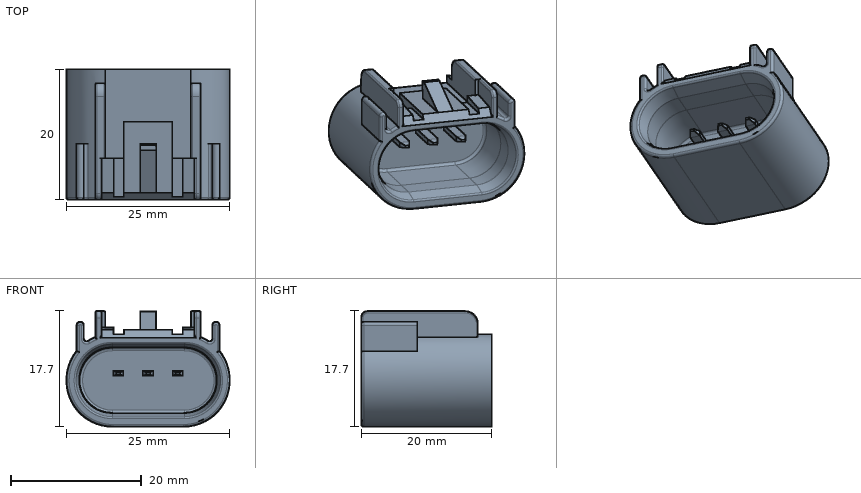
import cadquery as cq


LENGTH = 20.0
BODY_WIDTH = 25.0
BODY_RADIUS = 7.13
BODY_CENTER = BODY_WIDTH / 2 - BODY_RADIUS
FRONT_ROUND = 0.4
OVERALL_HEIGHT = 17.71
TOP = OVERALL_HEIGHT - BODY_RADIUS

SELECT_MARGIN = 0.01

SOCKET_CENTER = 5.5
MOUTH_RADIUS = 5.9
MOUTH_ROUND = 0.3
THROAT_RADIUS = 5.03
THROAT_START = 2.5
TAPER_START = 6.0
FLOOR_RADIUS = 4.97
FLOOR_ROUND = 0.43
SOCKET_DEPTH = 13.0

BLADE_PITCH = 4.53
BLADE_HEIGHT = 1.05
BLADE_WIDTH = 1.55
BLADE_THICKNESS = 0.8
BLADE_LENGTH = 7.0
BLADE_ROOT = 0.5
TIP_LENGTH = 1.2
TIP_WIDTH = 0.6
TIP_THICKNESS = 0.35

EAR_OUTER = 10.94
EAR_WIDTH = 1.14
EAR_LENGTH = 8.6
EAR_TOP = 16.07 - BODY_RADIUS
EAR_BASE = 11.0 - BODY_RADIUS
EAR_FOOT_ROUND = 0.4

RIB_OUTER = 8.06
RIB_INNER = 6.53
RIB_LENGTH = 17.85
RIB_BACK_ROUND = 2.0
RIB_FRONT_ROUND = 1.0
RIB_EDGE_ROUND = 0.25
RELIEF_INNER = 7.09

RECESS_FLOOR = 12.97 - BODY_RADIUS
DECK_LENGTH = 6.34
DECK_TOP = 14.17 - BODY_RADIUS
PAD_HALF_WIDTH = 3.7
PAD_LENGTH = 11.95
PAD_TOP = 14.86 - BODY_RADIUS
BLOCK_INNER = 5.28
BLOCK_BACK_TOP = 15.2 - BODY_RADIUS
LEAD_IN_LENGTH = 1.05
LEAD_IN_BOTTOM = 13.6 - BODY_RADIUS

HOOK_WIDTH = 2.46
HOOK_BACK = 8.6
HOOK_UNDERCUT = 0.34
HOOK_TOP_BACK = 8.32
HOOK_TOP_FRONT = 7.6
HOOK_TOP = TOP - 0.04
HOOK_LIP_DROP = 0.1


def racetrack(y, radius, center):
    """Racetrack section of the given end radius, drawn in the plane at depth y."""
    plane = cq.Workplane("XZ", origin=(0, y, 0))
    return plane.slot2D(2 * (center + radius), 2 * radius)


def box(x_min, x_max, y_min, y_max, z_min, z_max):
    size = (x_max - x_min, y_max - y_min, z_max - z_min)
    return cq.Workplane("XY").box(*size, centered=False).translate((x_min, y_min, z_min))


def side_prism(points, x_min, x_max):
    """Prism between two x positions from a (y, z) outline."""
    return cq.Workplane("YZ", origin=(x_min, 0, 0)).polyline(points).close().extrude(x_max - x_min)


def both_sides(solid):
    return solid.union(solid.mirror("YZ"))


def make_body():
    """Racetrack body with the two ears, rounded around its front edge."""
    body = racetrack(0, BODY_RADIUS, BODY_CENTER).extrude(-LENGTH)
    ear_inner = EAR_OUTER - EAR_WIDTH
    ear = (
        cq.Workplane("XZ")
        .moveTo(ear_inner, EAR_BASE)
        .lineTo(ear_inner, EAR_TOP - EAR_WIDTH / 2)
        .threePointArc((EAR_OUTER - EAR_WIDTH / 2, EAR_TOP), (EAR_OUTER, EAR_TOP - EAR_WIDTH / 2))
        .lineTo(EAR_OUTER, EAR_BASE)
        .close()
        .extrude(-EAR_LENGTH)
    )
    body = body.union(both_sides(ear))

    foot_z = (BODY_RADIUS**2 - (ear_inner - BODY_CENTER) ** 2) ** 0.5
    for x in (-ear_inner, ear_inner):
        foot = cq.selectors.NearestToPointSelector((x, EAR_LENGTH / 2, foot_z))
        body = body.edges("|Y").edges(foot).fillet(EAR_FOOT_ROUND)
    return body.faces("<Y").edges().fillet(FRONT_ROUND)


def make_socket():
    """Socket volume: flared mouth, straight throat and slightly tapered inner part."""
    mouth = racetrack(0, MOUTH_RADIUS - MOUTH_ROUND, SOCKET_CENTER)
    mouth = mouth.workplane(offset=-THROAT_START).slot2D(
        2 * (SOCKET_CENTER + THROAT_RADIUS), 2 * THROAT_RADIUS
    )
    mouth = mouth.loft(ruled=True)
    throat = racetrack(THROAT_START, THROAT_RADIUS, SOCKET_CENTER)
    throat = throat.extrude(THROAT_START - TAPER_START)
    inner = racetrack(TAPER_START, THROAT_RADIUS, SOCKET_CENTER)
    inner = inner.workplane(offset=TAPER_START - SOCKET_DEPTH).slot2D(
        2 * (SOCKET_CENTER + FLOOR_RADIUS), 2 * FLOOR_RADIUS
    )
    inner = inner.loft(ruled=True).faces(">Y").edges().fillet(FLOOR_ROUND)
    return mouth.union(throat).union(inner)


def round_mouth(part):
    """Round the socket's rim, picked by a thin box around the front plane."""
    half_width = SOCKET_CENTER + MOUTH_RADIUS
    rim = cq.selectors.BoxSelector(
        (-half_width, -SELECT_MARGIN, -MOUTH_RADIUS),
        (half_width, SELECT_MARGIN, MOUTH_RADIUS),
        boundingbox=True,
    )
    return part.edges(rim).fillet(MOUTH_ROUND)


def make_blade(x):
    """Contact blade rooted in the socket floor, with a tapered tip."""
    shoulder = SOCKET_DEPTH - BLADE_LENGTH + TIP_LENGTH
    plane = cq.Workplane("XZ", origin=(x, shoulder, BLADE_HEIGHT))
    shank = plane.rect(BLADE_WIDTH, BLADE_THICKNESS).extrude(shoulder - SOCKET_DEPTH - BLADE_ROOT)
    tip = plane.rect(BLADE_WIDTH, BLADE_THICKNESS).workplane(offset=TIP_LENGTH)
    tip = tip.rect(TIP_WIDTH, TIP_THICKNESS).loft(ruled=True)
    return shank.union(tip)


def make_rib():
    """Guide rib on the +X side, thinned on its inner face beside the deck."""
    rib = box(RIB_INNER, RIB_OUTER, 0, RIB_LENGTH, RECESS_FLOOR, TOP)
    relief = box(RIB_INNER, RELIEF_INNER, 0, DECK_LENGTH, RECESS_FLOOR, TOP)
    rib = rib.cut(relief)
    relief_face = (RELIEF_INNER, DECK_LENGTH / 2, (RECESS_FLOOR + TOP) / 2)
    rib = rib.edges("|X and >Z and >Y").fillet(RIB_BACK_ROUND)
    rib = rib.edges("|X and >Z and <Y").fillet(RIB_FRONT_ROUND)
    sides = rib.faces(">X").edges("not <Z").vals()
    sides += rib.faces("<X").edges(">Z").vals()
    sides += rib.faces(cq.selectors.NearestToPointSelector(relief_face)).edges(">Z or <Y").vals()
    return rib.newObject(sides).fillet(RIB_EDGE_ROUND)


def make_deck():
    """Deck, pad and side blocks between the ribs."""
    deck = box(-RELIEF_INNER, RELIEF_INNER, 0, DECK_LENGTH, RECESS_FLOOR, DECK_TOP)
    pad = box(-PAD_HALF_WIDTH, PAD_HALF_WIDTH, 0, PAD_LENGTH, RECESS_FLOOR, PAD_TOP)
    block_outline = [
        (0, RECESS_FLOOR),
        (0, PAD_TOP),
        (LEAD_IN_LENGTH, PAD_TOP),
        (DECK_LENGTH, BLOCK_BACK_TOP),
        (DECK_LENGTH, RECESS_FLOOR),
    ]
    block = side_prism(block_outline, BLOCK_INNER, RELIEF_INNER)
    return deck.union(pad).union(both_sides(block))


def make_lead_in():
    """Wedge removed from the front of the deck and body to leave a sloped lead-in."""
    outline = [(0, LEAD_IN_BOTTOM), (0, PAD_TOP), (LEAD_IN_LENGTH, PAD_TOP)]
    return side_prism(outline, -RELIEF_INNER, RELIEF_INNER)


def make_hook():
    """Latch hook: long front ramp, short top and a slightly undercut back face."""
    outline = [
        (LEAD_IN_LENGTH, PAD_TOP),
        (HOOK_TOP_FRONT, HOOK_TOP),
        (HOOK_TOP_BACK, HOOK_TOP),
        (HOOK_BACK, HOOK_TOP - HOOK_LIP_DROP),
        (HOOK_BACK - HOOK_UNDERCUT, PAD_TOP),
    ]
    return side_prism(outline, -HOOK_WIDTH / 2, HOOK_WIDTH / 2)


recess = box(-RIB_INNER, RIB_INNER, 0, LENGTH, RECESS_FLOOR, BODY_RADIUS)
result = make_body().cut(recess).union(make_deck()).cut(make_lead_in())
result = result.union(both_sides(make_rib())).union(make_hook()).cut(make_socket())
result = round_mouth(result)
for index in (-1, 0, 1):
    result = result.union(make_blade(index * BLADE_PITCH))